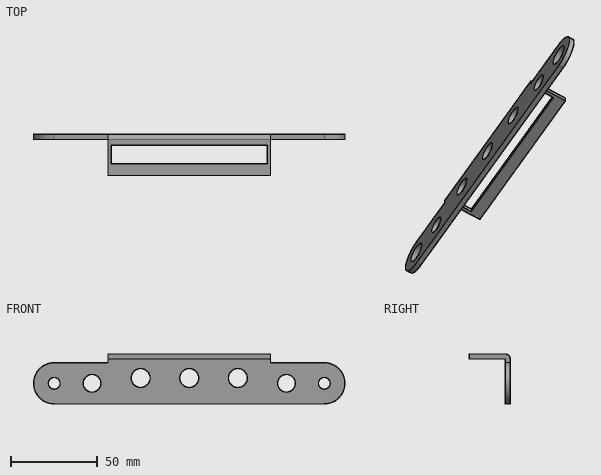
import cadquery as cq

length = 180.0
plate_height = 24.0
thickness = 3.0
end_radius = plate_height / 2

total_height = 29.0
flange_length = 94.0
flange_depth = 24.0
bend_radius = 3.0

window_length = 90.0
window_width = 10.5
window_front = 7.0

hole_spacing = 28.0
inner_hole_diameter = 10.8
inner_hole_rise = 3.0
outer_hole_diameter = 10.0
mounting_hole_diameter = 6.7
countersink_diameter = 12.0


def cut_hole(body, x, z, diameter):
    """Drill through the plate along Y."""
    drill = cq.Workplane("XZ", origin=(x, 0, z)).circle(diameter / 2).extrude(thickness)
    return body.cut(drill)


def cut_countersink(body, x, z):
    """Cone from the back face down to the mounting hole's front rim."""
    cone = (
        cq.Workplane("XZ", origin=(x, 0, z))
        .circle(countersink_diameter / 2)
        .workplane(offset=thickness)
        .circle(mounting_hole_diameter / 2)
        .loft(ruled=True)
    )
    return body.cut(cone)


plate = (
    cq.Workplane("XZ", origin=(0, 0, end_radius))
    .slot2D(length, plate_height)
    .extrude(thickness)
)

folded_section = (
    cq.Workplane("YZ", origin=(-flange_length / 2, 0, 0))
    .moveTo(0, end_radius)
    .lineTo(0, total_height)
    .lineTo(-flange_depth, total_height)
    .lineTo(-flange_depth, total_height - thickness)
    .lineTo(-thickness, total_height - thickness)
    .lineTo(-thickness, end_radius)
    .close()
    .extrude(flange_length)
    .edges(">Y and >Z")
    .fillet(bend_radius)
)

window = cq.Workplane("XY").box(
    window_length, window_width, total_height, centered=(True, False, False)
).translate((0, window_front - flange_depth, 0))

result = plate.union(folded_section).cut(window)

for step in (-1, 0, 1):
    result = cut_hole(result, step * hole_spacing, end_radius + inner_hole_rise, inner_hole_diameter)

for side in (-1, 1):
    result = cut_hole(result, side * 2 * hole_spacing, end_radius, outer_hole_diameter)
    result = cut_countersink(result, side * (length / 2 - end_radius), end_radius)